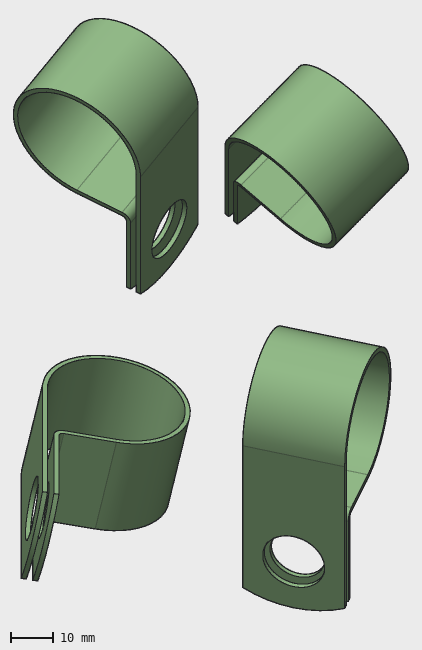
import cadquery as cq
import math

height = 64.7
loop_diameter = 35.8
strip_width = 25.4
thickness = 1.2
leg_gap = 1.55
bend_inner_radius = 1.15
short_leg_hole_diameter = 13.6
long_leg_hole_diameter = 15.4
hole_drop = 32.55
end_rise = 3.05

outer_radius = loop_diameter / 2
inner_radius = outer_radius - thickness
bend_outer_radius = bend_inner_radius + thickness
leg_bottom = outer_radius - height
short_leg_outer = inner_radius - leg_gap
short_leg_inner = short_leg_outer - thickness
bend_x = short_leg_outer - bend_outer_radius
bend_z = -inner_radius - bend_outer_radius
diagonal = math.sqrt(0.5)


def make_strip():
    """Bent strip outline, extruded evenly about the XZ plane."""
    return (
        cq.Workplane("XZ")
        .moveTo(outer_radius, leg_bottom)
        .lineTo(outer_radius, 0)
        .threePointArc((-outer_radius * diagonal, outer_radius * diagonal), (0, -outer_radius))
        .lineTo(bend_x, -outer_radius)
        .threePointArc(
            (bend_x + bend_inner_radius * diagonal, bend_z + bend_inner_radius * diagonal),
            (short_leg_inner, bend_z),
        )
        .lineTo(short_leg_inner, leg_bottom)
        .lineTo(short_leg_outer, leg_bottom)
        .lineTo(short_leg_outer, bend_z)
        .threePointArc(
            (bend_x + bend_outer_radius * diagonal, bend_z + bend_outer_radius * diagonal),
            (bend_x, -inner_radius),
        )
        .lineTo(0, -inner_radius)
        .threePointArc((-inner_radius * diagonal, inner_radius * diagonal), (inner_radius, 0))
        .lineTo(inner_radius, leg_bottom)
        .close()
        .extrude(strip_width / 2, both=True)
    )


def make_side_envelope():
    """Flat-sided block with a rounded lower end, covering the whole strip."""
    half_width = strip_width / 2
    return (
        cq.Workplane("YZ")
        .moveTo(-half_width, outer_radius)
        .lineTo(-half_width, leg_bottom + end_rise)
        .threePointArc((0, leg_bottom), (half_width, leg_bottom + end_rise))
        .lineTo(half_width, outer_radius)
        .close()
        .extrude(outer_radius, both=True)
    )


def make_hole(diameter, start_x):
    """Bolt hole cutter along X, running from start_x to the outer face of the long leg."""
    return (
        cq.Workplane("YZ", origin=(start_x, 0, -hole_drop))
        .circle(diameter / 2)
        .extrude(outer_radius - start_x)
    )


short_leg_hole = make_hole(short_leg_hole_diameter, short_leg_inner)
long_leg_hole = make_hole(long_leg_hole_diameter, inner_radius)
result = make_strip().intersect(make_side_envelope()).cut(short_leg_hole).cut(long_leg_hole)